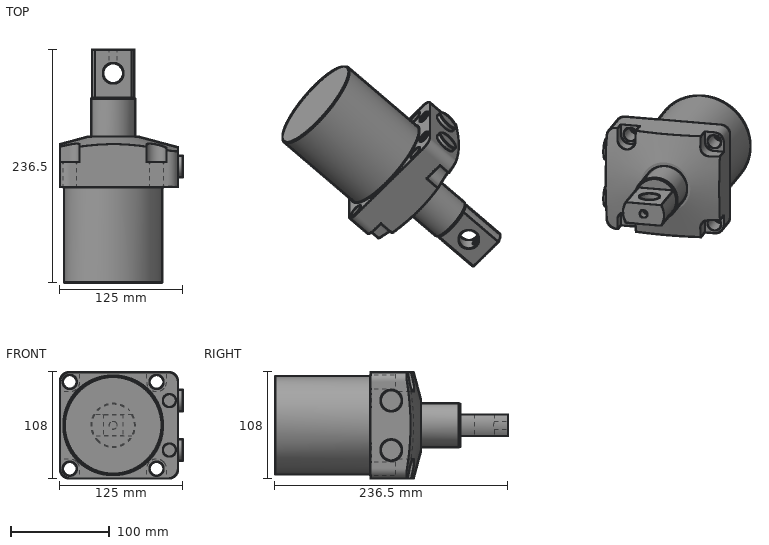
import cadquery as cq
import math

TOTAL_LENGTH = 236.5

BARREL_DIA = 100.0
BARREL_EDGE = 1.0
SEAT_DIA = 101.2
SEAT_LENGTH = 0.5

FLANGE_BACK_Y = 97.2
FLANGE_FRONT_Y = 148.3
FLANGE_HEIGHT = 108.0
FLANGE_WIDTH = 120.0
FLANGE_LEFT = FLANGE_HEIGHT / 2
FLANGE_RIGHT = FLANGE_WIDTH - FLANGE_LEFT
CORNER_RADIUS = 10.0
CONE_TOP_RADIUS = 26.0
CONE_SLOPE = 15.0

BOLT_OFFSET = 44.0
BOLT_HOLE_DIA = 14.0
POCKET_RADIUS = 10.0
POCKET_FLOOR_Y = 122.5

PORT_Z = 25.0
PORT_RECESS_X = 57.0
PORT_RECESS_DIA = 13.2
PORT_RECESS_DEPTH = 1.0

PLUG_Y = 118.0
PLUG_DIA = 22.0
PLUG_LENGTH = 5.0
PLUG_EDGE = 0.5

ROD_DIA = 45.0
SHOULDER_Y = 188.0
SHOULDER_CHAMFER = 1.7
EYE_DIA = 43.0
EYE_THICKNESS = 22.0
PIN_HOLE_DIA = 20.0
PIN_HOLE_EDGE = 0.5
PIN_HOLE_Y = TOTAL_LENGTH - 24.0
TIP_HOLE_DIA = 8.0


def disc(radius, y_start, y_end, x=0, z=0):
    """Cylinder along Y between two Y positions."""
    start = cq.Vector(x, y_start, z)
    return cq.Workplane(cq.Solid.makeCylinder(radius, y_end - y_start, start, cq.Vector(0, 1, 0)))


def box(x_min, x_max, y_min, y_max, z_min, z_max):
    """Axis-aligned block between the given limits."""
    size = (x_max - x_min, y_max - y_min, z_max - z_min)
    return cq.Workplane().box(*size, centered=False).translate((x_min, y_min, z_min))


def make_barrel():
    barrel = disc(BARREL_DIA / 2, 0, FLANGE_BACK_Y).faces("<Y").chamfer(BARREL_EDGE)
    seat = disc(SEAT_DIA / 2, FLANGE_BACK_Y - SEAT_LENGTH, FLANGE_BACK_Y)
    return barrel.union(seat)


def make_flange_block():
    half_height = FLANGE_HEIGHT / 2
    block = box(-FLANGE_LEFT, FLANGE_RIGHT, FLANGE_BACK_Y, FLANGE_FRONT_Y, -half_height, half_height)
    block = block.edges("|Y").fillet(CORNER_RADIUS)

    cone_radius = FLANGE_RIGHT + half_height
    cone_base_y = FLANGE_FRONT_Y - (cone_radius - CONE_TOP_RADIUS) * math.tan(math.radians(CONE_SLOPE))
    cone = (
        cq.Workplane("XY")
        .moveTo(0, FLANGE_BACK_Y)
        .lineTo(cone_radius, FLANGE_BACK_Y)
        .lineTo(cone_radius, cone_base_y)
        .lineTo(CONE_TOP_RADIUS, FLANGE_FRONT_Y)
        .lineTo(0, FLANGE_FRONT_Y)
        .close()
        .revolve(360, (0, 0, 0), (0, 1, 0))
    )
    return block.intersect(cone)


def make_bolt_pocket(side_x, side_z):
    """Round pocket around a bolt, open to the Z side and, at the -X corners, to the -X side too."""
    pocket = disc(POCKET_RADIUS, POCKET_FLOOR_Y, FLANGE_FRONT_Y, side_x * BOLT_OFFSET, side_z * BOLT_OFFSET)
    inner = BOLT_OFFSET - POCKET_RADIUS
    outer = BOLT_OFFSET + POCKET_RADIUS
    y_limits = (POCKET_FLOOR_Y, FLANGE_FRONT_Y)

    x_limits = sorted((side_x * inner, side_x * outer))
    z_limits = sorted((side_z * BOLT_OFFSET, side_z * FLANGE_HEIGHT))
    pocket = pocket.union(box(*x_limits, *y_limits, *z_limits))
    if side_x < 0:
        z_limits = sorted((side_z * inner, side_z * FLANGE_HEIGHT))
        pocket = pocket.union(box(-FLANGE_WIDTH, -BOLT_OFFSET, *y_limits, *z_limits))
    return pocket


def make_housing():
    flange = make_flange_block()
    for side_x in (-1, 1):
        for side_z in (-1, 1):
            hole_x = side_x * BOLT_OFFSET
            hole_z = side_z * BOLT_OFFSET
            hole = disc(BOLT_HOLE_DIA / 2, FLANGE_BACK_Y, FLANGE_FRONT_Y, hole_x, hole_z)
            flange = flange.cut(hole).cut(make_bolt_pocket(side_x, side_z))
    recess_floor = FLANGE_BACK_Y + PORT_RECESS_DEPTH
    for side_z in (-1, 1):
        recess = disc(PORT_RECESS_DIA / 2, FLANGE_BACK_Y, recess_floor, PORT_RECESS_X, side_z * PORT_Z)
        flange = flange.cut(recess)
    return flange.union(make_barrel())


def make_rod():
    shank = (
        cq.Workplane("XY")
        .moveTo(0, FLANGE_FRONT_Y)
        .lineTo(ROD_DIA / 2, FLANGE_FRONT_Y)
        .lineTo(ROD_DIA / 2, SHOULDER_Y - SHOULDER_CHAMFER)
        .lineTo(EYE_DIA / 2, SHOULDER_Y)
        .lineTo(0, SHOULDER_Y)
        .close()
        .revolve(360, (0, 0, 0), (0, 1, 0))
    )

    half = EYE_THICKNESS / 2
    flats = box(-ROD_DIA, ROD_DIA, SHOULDER_Y, TOTAL_LENGTH, -half, half)
    eye = disc(EYE_DIA / 2, SHOULDER_Y, TOTAL_LENGTH).intersect(flats)

    pin_hole = cq.Workplane("XY", (0, PIN_HOLE_Y, -half)).circle(PIN_HOLE_DIA / 2).extrude(EYE_THICKNESS)
    eye = eye.cut(pin_hole)
    eye = eye.faces("<Z or >Z").edges("%CIRCLE").chamfer(PIN_HOLE_EDGE)

    eye = eye.cut(disc(TIP_HOLE_DIA / 2, PIN_HOLE_Y, TOTAL_LENGTH))
    return shank.union(eye)


def make_plug(z):
    plug = cq.Workplane("YZ", (FLANGE_RIGHT, PLUG_Y, z)).circle(PLUG_DIA / 2).extrude(PLUG_LENGTH)
    return plug.faces(">X").chamfer(PLUG_EDGE)


housing = make_housing()
rod = make_rod()
plugs = [make_plug(side_z * PORT_Z) for side_z in (-1, 1)]

result = cq.Compound.makeCompound([housing.val(), rod.val(), *[plug.val() for plug in plugs]])